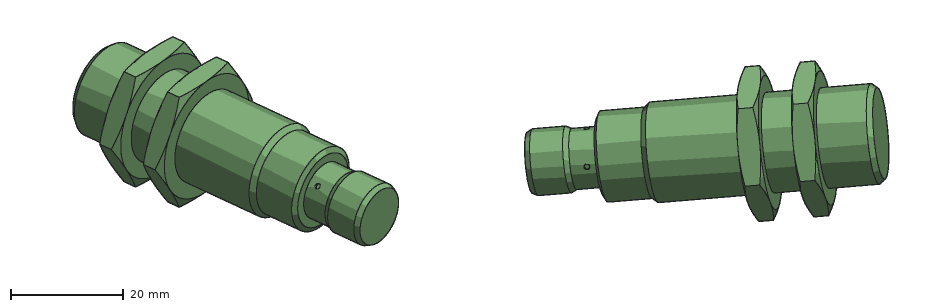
import cadquery as cq
import math

total_length = 63.5
barrel_end = 42.0
sleeve_end = 50.6
plug_start = 55.5

barrel_diameter = 18.05
sleeve_diameter = 16.4
neck_diameter = 11.0
plug_diameter = 12.0

barrel_chamfer_length = 1.0
sleeve_chamfer_length = 0.6
sleeve_chamfer_depth = 1.0
plug_chamfer_length = 1.0

nut_across_flats = 24.0
nut_thickness = 4.0
nut_starts = (10.05, 20.0)
nut_chamfer_angle = 20.0

hole_diameter = 1.0
hole_depth = 0.5
hole_station = 52.5
hole_count = 4
first_hole_angle = 45.0


def revolve_about_x(profile):
    """Turn a closed (x, radius) outline around the X axis."""
    return cq.Workplane("XY").polyline(profile).close().revolve(360, (0, 0, 0), (1, 0, 0))


def make_body():
    barrel_radius = barrel_diameter / 2
    sleeve_radius = sleeve_diameter / 2
    neck_radius = neck_diameter / 2
    plug_radius = plug_diameter / 2
    return revolve_about_x([
        (0, 0),
        (0, sleeve_radius),
        (barrel_chamfer_length, barrel_radius),
        (barrel_end - barrel_chamfer_length, barrel_radius),
        (barrel_end, sleeve_radius),
        (sleeve_end - sleeve_chamfer_length, sleeve_radius),
        (sleeve_end, sleeve_radius - sleeve_chamfer_depth),
        (sleeve_end, neck_radius),
        (plug_start, neck_radius),
        (plug_start + plug_chamfer_length, plug_radius),
        (total_length - plug_chamfer_length, plug_radius),
        (total_length, neck_radius),
        (total_length, 0),
    ])


def make_nut(start):
    """Hexagon with corners on the Y axis, both faces chamfered down to the inscribed circle."""
    face_radius = nut_across_flats / 2
    corner_radius = face_radius / math.cos(math.radians(30))
    chamfer_length = (corner_radius - face_radius) * math.tan(math.radians(nut_chamfer_angle))
    end = start + nut_thickness
    hexagon = (
        cq.Workplane("YZ", origin=(start, 0, 0))
        .polygon(6, 2 * corner_radius)
        .extrude(nut_thickness)
    )
    envelope = revolve_about_x([
        (start, 0),
        (start, face_radius),
        (start + chamfer_length, corner_radius),
        (end - chamfer_length, corner_radius),
        (end, face_radius),
        (end, 0),
    ])
    return hexagon.intersect(envelope)


def make_radial_hole(angle):
    """Cutter reaching from outside the neck to the flat floor of one hole."""
    floor_radius = neck_diameter / 2 - hole_depth
    cutter = (
        cq.Workplane("XY", origin=(hole_station, 0, floor_radius))
        .circle(hole_diameter / 2)
        .extrude(2 * hole_depth)
    )
    return cutter.rotate((0, 0, 0), (1, 0, 0), angle)


result = make_body()
for nut_start in nut_starts:
    result = result.union(make_nut(nut_start))
for index in range(hole_count):
    result = result.cut(make_radial_hole(first_hole_angle + index * 360 / hole_count))